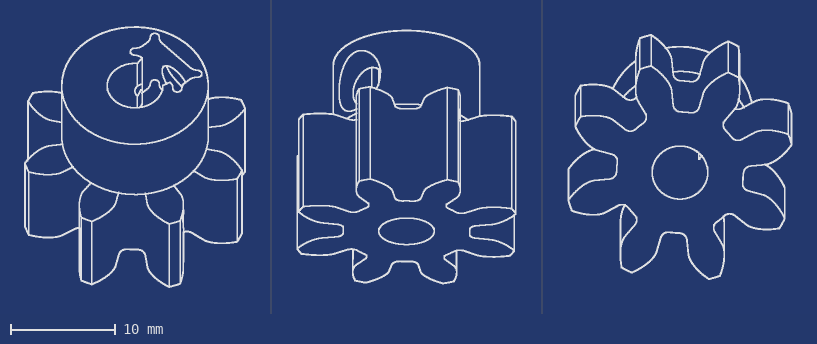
import cadquery as cq
import math

teeth = 8
module = 2.2
pressure_angle = math.radians(20)
pitch_radius = module * teeth / 2
tip_radius = pitch_radius + module
dedendum = 1.25 * module
root_radius = pitch_radius - dedendum
base_radius = pitch_radius * math.cos(pressure_angle)
tooth_half_angle = math.radians(11.9)
root_fillet = 0.75
gear_height = 10.0
flank_points = 8

total_height = 18.0
hub_height = total_height - gear_height
hub_diameter = 14.0
bore_diameter = 5.3

nut_direction = 67.5
pocket_inner = 2.73
pocket_outer = 5.32
pocket_half_width = 3.0
corner_relief = 0.42
relief_blend = 1.03
throat_half_width = 1.95
throat_bore_half_width = 1.78
screw_diameter = 3.92
flare_angle = math.radians(35)
screw_depth = 4.4
pocket_depth = screw_depth + pocket_half_width


def polar(radius, angle, center=(0, 0)):
    return (center[0] + radius * math.cos(angle), center[1] + radius * math.sin(angle))


def flank_point(radius, tooth_angle, side):
    """Point of the involute flank on the given side (-1 or +1) of a tooth."""
    roll = math.acos(min(1, base_radius / radius))
    involute = math.tan(roll) - roll
    return polar(radius, tooth_angle + side * (tooth_half_angle - involute))


def make_gear():
    pitch_angle = 2 * math.pi / teeth
    radii = [
        base_radius + (tip_radius - base_radius) * i / (flank_points - 1)
        for i in range(flank_points)
    ]
    fillet_orbit = root_radius + root_fillet
    fillet_top = math.sqrt(fillet_orbit**2 - root_fillet**2)
    fillet_offset = math.asin(root_fillet / fillet_orbit)
    root_edge = tooth_half_angle + fillet_offset

    def fillet_middle(tooth_angle, side):
        center_angle = tooth_angle + side * root_edge
        inward = center_angle + math.pi
        turn = side * (math.pi / 2 - fillet_offset) / 2
        return polar(root_fillet, inward + turn, polar(fillet_orbit, center_angle))

    outline = cq.Workplane("XY").moveTo(*polar(root_radius, -root_edge))
    for i in range(teeth):
        angle = i * pitch_angle
        rising = [flank_point(r, angle, -1) for r in radii]
        falling = [flank_point(r, angle, 1) for r in reversed(radii)]
        outline = (
            outline.threePointArc(fillet_middle(angle, -1), polar(fillet_top, angle - tooth_half_angle))
            .lineTo(*rising[0])
            .spline(rising[1:], includeCurrent=True)
            .threePointArc(polar(tip_radius, angle), falling[0])
            .spline(falling[1:], includeCurrent=True)
            .lineTo(*polar(fillet_top, angle + tooth_half_angle))
            .threePointArc(fillet_middle(angle, 1), polar(root_radius, angle + root_edge))
            .threePointArc(
                polar(root_radius, angle + pitch_angle / 2),
                polar(root_radius, angle + pitch_angle - root_edge),
            )
        )
    return outline.close().extrude(gear_height)


def add_relieved_corner(outline, corner, outward):
    """Round relief centred on a pocket corner, blended into the walls before and after it."""
    blend_orbit = relief_blend + corner_relief
    reach = math.sqrt(blend_orbit**2 - relief_blend**2)
    lean = math.asin(relief_blend / blend_orbit)
    quarter = math.pi / 2
    wall_turn = math.radians(135)
    wall_in = outward + wall_turn
    wall_out = outward - wall_turn
    touch_in = wall_in - lean
    touch_out = wall_out + lean
    blend_in = polar(blend_orbit, touch_in, corner)
    blend_out = polar(blend_orbit, touch_out, corner)
    middle_in = (wall_in + quarter + touch_in + math.pi) / 2
    middle_out = (wall_out - quarter + touch_out - math.pi) / 2
    return (
        outline.lineTo(*polar(reach, wall_in, corner))
        .threePointArc(polar(relief_blend, middle_in, blend_in), polar(corner_relief, touch_in, corner))
        .threePointArc(polar(corner_relief, outward, corner), polar(corner_relief, touch_out, corner))
        .threePointArc(polar(relief_blend, middle_out, blend_out), polar(reach, wall_out, corner))
    )


def make_pocket():
    """Nut pocket with +X along the nut direction; half of it is drawn and mirrored."""
    throat_start = math.sqrt((bore_diameter / 2) ** 2 - throat_bore_half_width**2)
    outline = (
        cq.Workplane("XY", origin=(0, 0, total_height - pocket_depth))
        .moveTo(throat_start, 0)
        .lineTo(throat_start, throat_bore_half_width)
        .lineTo(pocket_inner, throat_half_width)
    )
    outline = add_relieved_corner(outline, (pocket_inner, pocket_half_width), math.radians(135))
    outline = add_relieved_corner(outline, (pocket_outer, pocket_half_width), math.radians(45))
    return outline.lineTo(pocket_outer, 0).mirrorX().extrude(pocket_depth)


def make_screw_hole():
    """Radial hole along +X, flaring from the outer pocket wall to the outside of the hub."""
    flare_length = hub_diameter / 2 - pocket_outer
    outer_radius = screw_diameter / 2 + flare_length * math.tan(flare_angle)
    return (
        cq.Workplane("XY")
        .lineTo(0, screw_diameter / 2)
        .lineTo(pocket_outer, screw_diameter / 2)
        .lineTo(hub_diameter / 2, outer_radius)
        .lineTo(hub_diameter / 2, 0)
        .close()
        .revolve(360, (0, 0, 0), (1, 0, 0))
        .translate((0, 0, total_height - screw_depth))
    )


hub = cq.Workplane("XY", origin=(0, 0, gear_height)).circle(hub_diameter / 2).extrude(hub_height)
bore = cq.Workplane("XY").circle(bore_diameter / 2).extrude(total_height)
nut_trap = make_pocket().union(make_screw_hole()).rotate((0, 0, 0), (0, 0, 1), nut_direction)

result = make_gear().union(hub).cut(bore).cut(nut_trap)